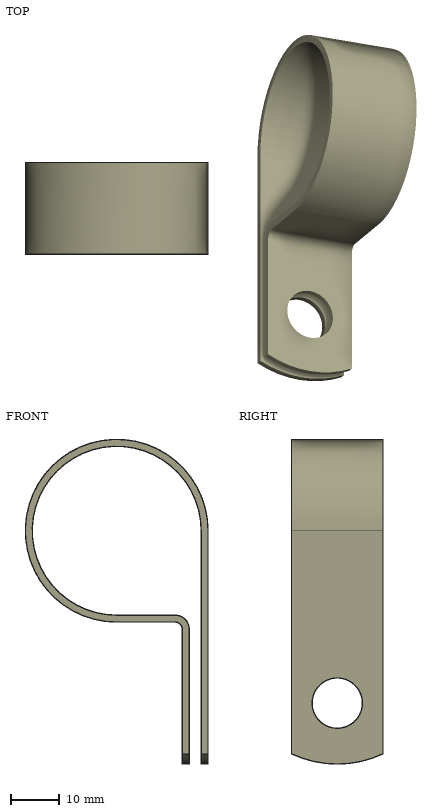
import cadquery as cq
import math

height = 67.4
loop_diameter = 37.95
strap_width = 19.1
thickness = 1.5
leg_gap = 2.4
bend_inner_radius = 1.5
tip_rise = 2.15
hole_diameter = 10.4
hole_height = 12.7

outer_radius = loop_diameter / 2
inner_radius = outer_radius - thickness
tip_z = outer_radius - height
short_leg_outer_x = inner_radius - leg_gap
short_leg_inner_x = short_leg_outer_x - thickness
bend_outer_radius = bend_inner_radius + thickness
bend_x = short_leg_outer_x - bend_outer_radius
bend_z = -inner_radius - bend_outer_radius
bend_diagonal = math.sqrt(0.5)


def bend_middle(radius):
    """Midpoint of a quarter bend of the given radius."""
    return (bend_x + radius * bend_diagonal, bend_z + radius * bend_diagonal)


def make_strap():
    """Constant-thickness strap: long leg, three-quarter loop, shelf and short leg."""
    return (
        cq.Workplane("XZ")
        .moveTo(outer_radius, tip_z)
        .lineTo(outer_radius, 0)
        .threePointArc((0, outer_radius), (-outer_radius, 0))
        .radiusArc((0, -outer_radius), -outer_radius)
        .lineTo(bend_x, -outer_radius)
        .threePointArc(bend_middle(bend_inner_radius), (short_leg_inner_x, bend_z))
        .lineTo(short_leg_inner_x, tip_z)
        .lineTo(short_leg_outer_x, tip_z)
        .lineTo(short_leg_outer_x, bend_z)
        .threePointArc(bend_middle(bend_outer_radius), (bend_x, -inner_radius))
        .lineTo(0, -inner_radius)
        .radiusArc((-inner_radius, 0), inner_radius)
        .threePointArc((0, inner_radius), (inner_radius, 0))
        .lineTo(inner_radius, tip_z)
        .close()
        .extrude(strap_width / 2, both=True)
    )


def make_side_outline():
    """Block with the strap's side outline: straight sides and an arched lower end."""
    half_width = strap_width / 2
    return (
        cq.Workplane("YZ")
        .moveTo(-half_width, outer_radius)
        .lineTo(-half_width, tip_z + tip_rise)
        .threePointArc((0, tip_z), (half_width, tip_z + tip_rise))
        .lineTo(half_width, outer_radius)
        .close()
        .extrude(outer_radius, both=True)
    )


def make_bolt_hole():
    """Cylinder along X that passes through both legs."""
    return (
        cq.Workplane("YZ")
        .center(0, tip_z + hole_height)
        .circle(hole_diameter / 2)
        .extrude(outer_radius)
    )


result = make_strap().intersect(make_side_outline()).cut(make_bolt_hole())